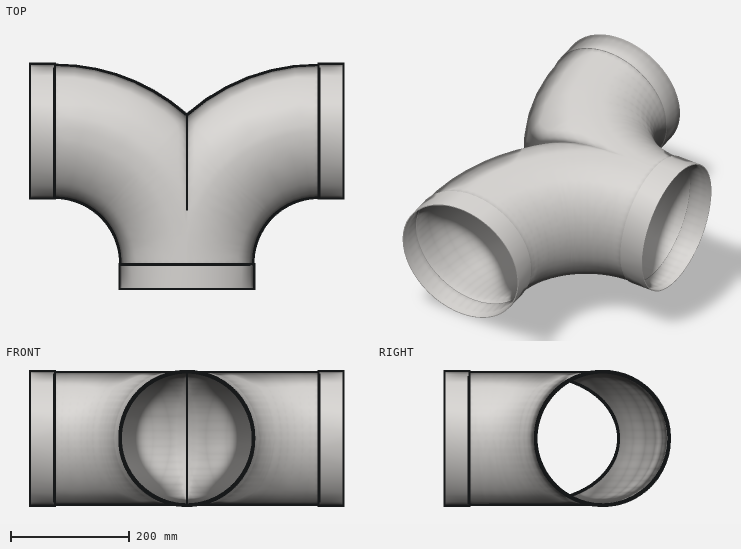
import cadquery as cq

pipe_outer_diameter = 225.0
pipe_inner_diameter = 223.0
collar_outer_diameter = 228.5
collar_inner_diameter = pipe_outer_diameter
collar_length = 42.5
seat_length = 1.5
overall_length = 530.0
overall_depth = 381.0

outlet_end = overall_length / 2
inlet_end = overall_depth - collar_outer_diameter / 2
outlet_collar_start = outlet_end - collar_length
inlet_collar_start = inlet_end - collar_length
bend_radius = outlet_collar_start


def port_planes():
    """Planes at the collar starts, each facing outward along its port."""
    return [
        cq.Plane(origin=(-outlet_collar_start, 0, 0), xDir=(0, 1, 0), normal=(-1, 0, 0)),
        cq.Plane(origin=(outlet_collar_start, 0, 0), xDir=(0, 1, 0), normal=(1, 0, 0)),
        cq.Plane(origin=(0, -inlet_collar_start, 0), xDir=(1, 0, 0), normal=(0, -1, 0)),
    ]


def bend(side, diameter):
    """Solid quarter bend from the inlet to the outlet on the given side."""
    pivot_x = side * bend_radius
    return (
        cq.Workplane("XZ", origin=(0, -bend_radius, 0))
        .circle(diameter / 2)
        .revolve(90, (pivot_x, 0, 0), (pivot_x, -side, 0))
    )


def branched_rod(diameter):
    """Two solid bends sharing a short straight neck, with a stub at each port."""
    rod = bend(-1, diameter).union(bend(1, diameter))
    neck_length = inlet_collar_start - bend_radius
    neck = cq.Workplane("XZ", origin=(0, -bend_radius, 0)).circle(diameter / 2).extrude(neck_length)
    rod = rod.union(neck)
    for plane in port_planes():
        rod = rod.union(cq.Workplane(plane).circle(diameter / 2).extrude(seat_length))
    return rod


def collar(plane):
    """Thin sleeve fitted around the end of the pipe."""
    return (
        cq.Workplane(plane)
        .circle(collar_outer_diameter / 2)
        .circle(collar_inner_diameter / 2)
        .extrude(collar_length)
    )


result = branched_rod(pipe_outer_diameter).cut(branched_rod(pipe_inner_diameter))
for port_plane in port_planes():
    result = result.union(collar(port_plane))